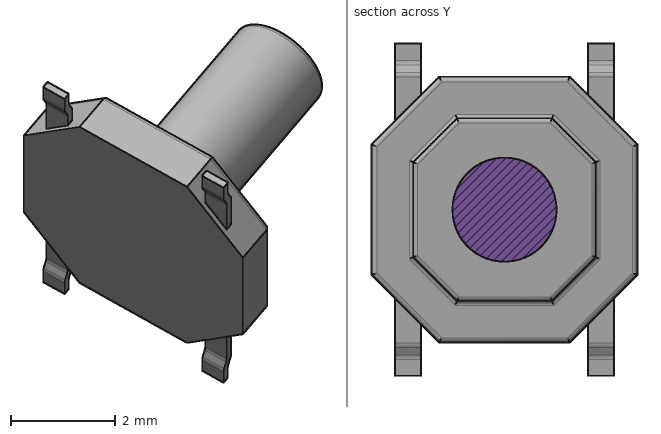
import cadquery as cq
import math


body_size = 5.1
body_corner = 1.3
body_height = 0.9
body_edge_radius = 0.1
collar_size = 3.5
collar_corner = 0.84
collar_top = 1.2
collar_edge_radius = 0.08

plunger_diameter = 2.0
plunger_tip = 5.0
plunger_edge_radius = 0.1

lead_span = 6.37
lead_spacing = 3.7
lead_width = 0.5
lead_thickness = 0.15
lead_step = 0.105
lead_bend_run = 0.225
lead_foot_length = 0.4
lead_bend_radius = 0.2


def octagon_block(size, corner, height, edge_radius):
    """Octagonal block standing on Y = 0, with the rim of its +Y face rounded."""
    block = cq.Workplane("XY").box(size, height, size)
    block = block.translate((0, height / 2, 0))
    block = block.edges("|Y").chamfer(corner)
    return block.faces(">Y").edges().fillet(edge_radius)


def housing():
    """Body and collar, joined with a small fillet around the foot of the collar."""
    body = octagon_block(body_size, body_corner, body_height, body_edge_radius)
    collar = octagon_block(collar_size, collar_corner, collar_top, collar_edge_radius)
    reach = collar_size / 2 + collar_edge_radius
    joint = cq.selectors.BoxSelector(
        (-reach, body_height - collar_edge_radius, -reach),
        (reach, body_height + collar_edge_radius, reach),
    )
    return body.union(collar).edges(joint).fillet(collar_edge_radius)


def plunger():
    """Round plunger with a softened tip, rooted inside the collar."""
    root_plane = cq.Workplane("XZ", origin=(0, body_height, 0))
    rod = root_plane.circle(plunger_diameter / 2).extrude(body_height - plunger_tip)
    return rod.faces(">Y").edges().fillet(plunger_edge_radius)


def lead():
    """Gull-wing strip centred on X = 0, with its foot flat on Y = 0 at the +Z end."""
    tip = lead_span / 2
    root = body_size / 2 - body_corner
    foot_bend = tip - lead_foot_length
    shoulder_bend = foot_bend - lead_bend_run
    shoulder_back = lead_step + lead_thickness

    bend_angle = math.atan2(lead_step, lead_bend_run)
    mitre = lead_thickness * math.tan(bend_angle / 2)

    front_bends = [(0, foot_bend), (lead_step, shoulder_bend)]
    back_bends = [(shoulder_back, shoulder_bend + mitre), (lead_thickness, foot_bend + mitre)]
    inner_end = [(lead_step, root), (shoulder_back, root)]
    outer_end = [(lead_thickness, tip), (0, tip)]
    outline = front_bends + inner_end + back_bends + outer_end

    strip = cq.Workplane("YZ").polyline(outline).close().extrude(lead_width / 2, both=True)
    for y, z in front_bends + back_bends:
        bend_edge = cq.selectors.NearestToPointSelector((0, y, z))
        strip = strip.edges("|X").edges(bend_edge).fillet(lead_bend_radius)
    return strip


result = housing().union(plunger())
for x in (-lead_spacing / 2, lead_spacing / 2):
    upper_lead = lead().translate((x, 0, 0))
    lower_lead = upper_lead.mirror("XY")
    result = result.union(upper_lead).union(lower_lead)